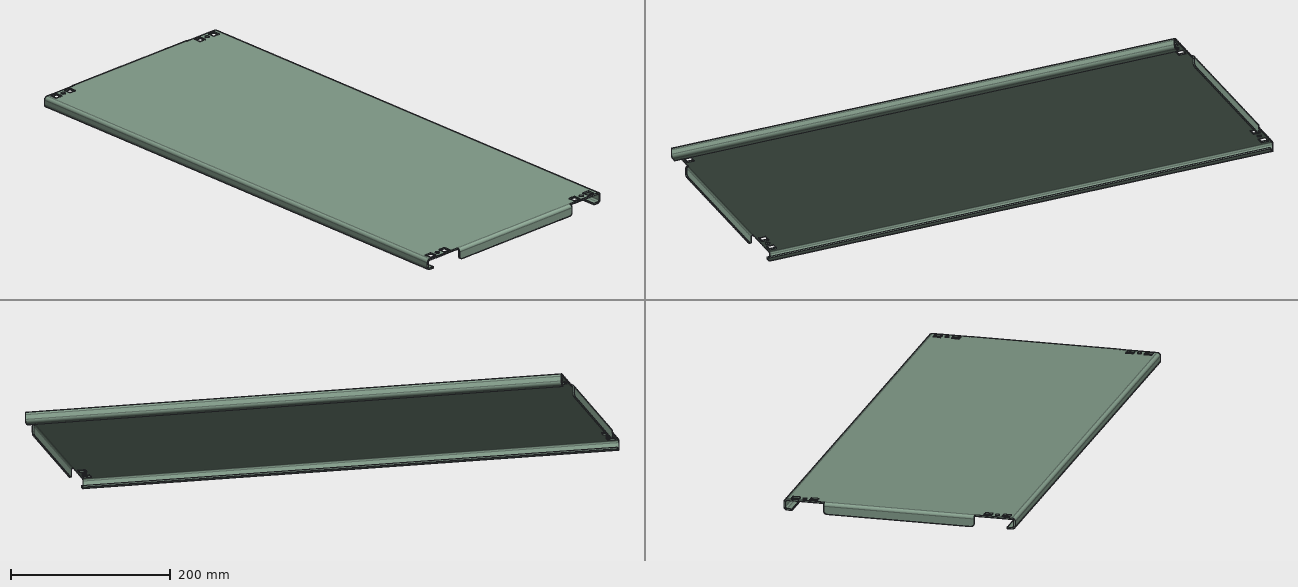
import cadquery as cq
import math

length = 699.0
width = 300.0
height = 15.0

thickness = 2.0
bend_radius = 4.0
inner_radius = bend_radius - thickness
lip_length = 10.5

end_flange_width = 195.0
end_flange_corner = 4.0

square_size = 10.0
round_diameter = 5.5
opening_inset = 8.0
square_insets = (13.0, 37.0)
round_inset = sum(square_insets) / len(square_insets)

plate_length = length - 2 * bend_radius
half_width = width / 2
half_length = length / 2
bend_diagonal = math.sqrt(0.5)


def bend_middle(center_across, center_z, radius, up):
    """Midpoint of a quarter bend on the outward side, curving up or down."""
    return (center_across + radius * bend_diagonal, center_z + up * radius * bend_diagonal)


def make_channel():
    """Flat plate with a C-shaped fold along each long side; top face at z = 0."""
    bend_y = half_width - bend_radius
    upper_z = -bend_radius
    lower_z = -height + bend_radius
    inner_y = half_width - thickness
    lip_y = half_width - lip_length
    half_profile = (
        cq.Workplane("YZ", origin=(-plate_length / 2, 0, 0))
        .moveTo(0, 0)
        .lineTo(bend_y, 0)
        .threePointArc(bend_middle(bend_y, upper_z, bend_radius, 1), (half_width, upper_z))
        .lineTo(half_width, lower_z)
        .threePointArc(bend_middle(bend_y, lower_z, bend_radius, -1), (bend_y, -height))
        .lineTo(lip_y, -height)
        .lineTo(lip_y, thickness - height)
        .lineTo(bend_y, thickness - height)
        .threePointArc(bend_middle(bend_y, lower_z, inner_radius, -1), (inner_y, lower_z))
        .lineTo(inner_y, upper_z)
        .threePointArc(bend_middle(bend_y, upper_z, inner_radius, 1), (bend_y, -thickness))
        .lineTo(0, -thickness)
        .close()
    )
    half_channel = half_profile.extrude(plate_length)
    return half_channel.union(half_channel.mirror("XZ"))


def make_end_flange():
    """Single downward fold at the +X end with rounded lower corners."""
    bend_x = half_length - bend_radius
    inner_x = half_length - thickness
    flange = (
        cq.Workplane("XZ", origin=(0, end_flange_width / 2, 0))
        .moveTo(bend_x, 0)
        .threePointArc(bend_middle(bend_x, -bend_radius, bend_radius, 1), (half_length, -bend_radius))
        .lineTo(half_length, -height)
        .lineTo(inner_x, -height)
        .lineTo(inner_x, -bend_radius)
        .threePointArc(bend_middle(bend_x, -bend_radius, inner_radius, 1), (bend_x, -thickness))
        .close()
        .extrude(end_flange_width)
    )
    return flange.faces("<Z").edges("|X").fillet(end_flange_corner)


def make_corner_openings(side_x, side_y):
    """Two square openings and a round hole through the plate at one corner."""
    x = side_x * (plate_length / 2 - opening_inset)
    square_points = [(x, side_y * (half_width - inset)) for inset in square_insets]
    round_point = (x, side_y * (half_width - round_inset))
    squares = cq.Workplane("XY").pushPoints(square_points).rect(square_size, square_size)
    hole = cq.Workplane("XY").pushPoints([round_point]).circle(round_diameter / 2)
    return squares.extrude(-thickness).union(hole.extrude(-thickness))


end_flange = make_end_flange()
result = make_channel().union(end_flange).union(end_flange.mirror("YZ"))

for side_x in (-1, 1):
    for side_y in (-1, 1):
        result = result.cut(make_corner_openings(side_x, side_y))